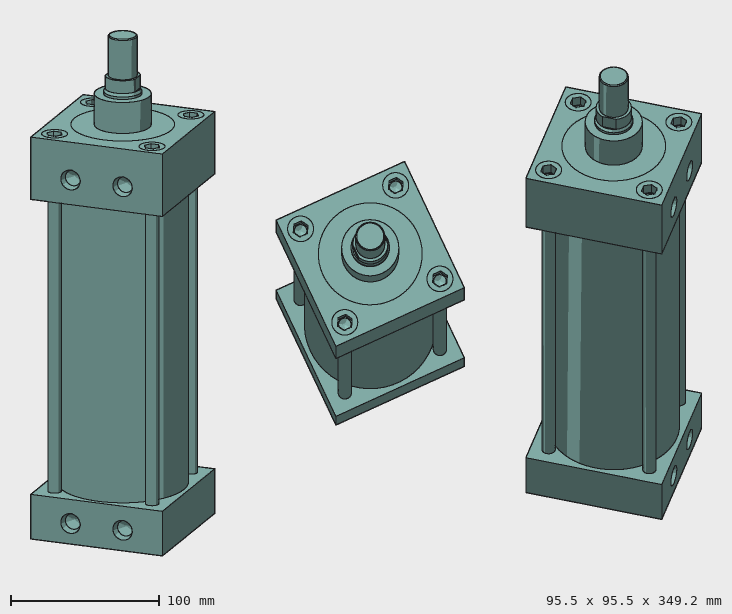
import cadquery as cq
import math

total_height = 349.2
block_side = 95.5
base_height = 31.8
head_height = 44.5
boss_height = 22.0
shank_height = 13.0
thread_length = 28.5

boss_top = total_height - thread_length - shank_height
head_top = boss_top - boss_height
head_bottom = head_top - head_height

barrel_radius = 44.5
tie_rod_radius = 4.5
tie_rod_offset = 35.3
tie_head_radius = 8.7
tie_head_height = 14.0
socket_across_flats = 9.5
socket_depth = 7.0
socket_drill_radius = 4.2

flange_radius = 35.0
flange_height = 10.5
boss_radius = 19.2

rod_radius = 13.0
rod_land_height = 1.7
rod_cone_height = 2.0
shank_radius = 12.0
thread_radius = 9.8
thread_chamfer = 0.7
flat_half_width = 11.0
flat_height = shank_height - rod_land_height - rod_cone_height

port_mouth_radius = 7.0
port_end_radius = 5.5
port_depth = 5.0
port_offset = 19.0
base_port_z = 14.5
head_port_z = 258.8
drill_point_angle = 118.0


def cylinder(radius, bottom, top):
    return cq.Workplane("XY").workplane(offset=bottom).circle(radius).extrude(top - bottom)


def block(bottom, height):
    return cq.Workplane("XY").workplane(offset=bottom).rect(block_side, block_side).extrude(height)


def tapered_hole(mouth_radius, end_radius, depth):
    """Cutter for a blind hole with a drill point: mouth at the origin, running down -Z."""
    point_length = end_radius / math.tan(math.radians(drill_point_angle / 2))
    return (
        cq.Workplane("XZ")
        .lineTo(mouth_radius, 0)
        .lineTo(end_radius, -depth)
        .lineTo(0, -depth - point_length)
        .close()
        .revolve(360, (0, 0), (0, 1))
    )


def gland_flange():
    return cylinder(flange_radius, head_top - flange_height, head_top)


def cut_ports(body, port_z):
    """Pair of ports drilled into the -Y face."""
    port = tapered_hole(port_mouth_radius, port_end_radius, port_depth).rotate((0, 0, 0), (1, 0, 0), 90)
    for x in (-port_offset, port_offset):
        body = body.cut(port.translate((x, -block_side / 2, port_z)))
    return body


def tie_rod(bottom):
    """Tie rod with an enlarged end, flush with the top of the head block."""
    return cylinder(tie_rod_radius, bottom, head_top).union(
        cylinder(tie_head_radius, head_top - tie_head_height, head_top)
    )


def hex_socket():
    """Cutter for the wrench socket in a tie rod head, with two of its corners on the X direction."""
    across_corners = socket_across_flats / math.cos(math.pi / 6)
    hexagon = cq.Workplane("XY").polygon(6, across_corners).extrude(-socket_depth)
    drilled = tapered_hole(socket_drill_radius, socket_drill_radius, socket_depth)
    return hexagon.union(drilled).translate((0, 0, head_top))


def at_corners(shape):
    """One copy of the shape on each of the four tie rod axes."""
    offsets = (-tie_rod_offset, tie_rod_offset)
    return [shape.translate((x, y, 0)) for x in offsets for y in offsets]


def make_cylinder_body():
    """Base block carrying the barrel and the four tie rods."""
    body = cut_ports(block(0, base_height), base_port_z)
    body = body.union(cylinder(barrel_radius, base_height, head_bottom))
    for rod in at_corners(tie_rod(base_height).cut(hex_socket())):
        body = body.union(rod)
    return body


def make_head():
    """Head block with a seat for the gland and clearance for the piston rod and tie rods."""
    head = cut_ports(block(head_bottom, head_height), head_port_z)
    head = head.cut(gland_flange())
    head = head.cut(cylinder(rod_radius, head_bottom, head_top))
    for rod in at_corners(tie_rod(head_bottom)):
        head = head.cut(rod)
    return head


def make_gland():
    """Flanged gland set flush in the head, with a boss around the rod."""
    boss = cylinder(boss_radius, head_top, boss_top)
    return gland_flange().union(boss).cut(cylinder(rod_radius, head_bottom, boss_top))


def make_piston_rod():
    """Rod tapering to a shank with two wrench flats facing -X and +X, then a reduced end."""
    land_top = boss_top + rod_land_height
    cone_top = land_top + rod_cone_height
    shoulder = boss_top + shank_height
    rod = (
        cq.Workplane("XZ")
        .moveTo(0, head_bottom)
        .lineTo(rod_radius, head_bottom)
        .lineTo(rod_radius, land_top)
        .lineTo(shank_radius, cone_top)
        .lineTo(shank_radius, shoulder)
        .lineTo(thread_radius, shoulder)
        .lineTo(thread_radius, total_height - thread_chamfer)
        .lineTo(thread_radius - thread_chamfer, total_height)
        .lineTo(0, total_height)
        .close()
        .revolve(360, (0, 0), (0, 1))
    )
    flat_cut = cq.Workplane("XY").box(shank_radius, 2 * shank_radius, flat_height)
    flat_offset = flat_half_width + shank_radius / 2
    for x in (-flat_offset, flat_offset):
        rod = rod.cut(flat_cut.translate((x, 0, shoulder - flat_height / 2)))
    return rod


cylinder_body = make_cylinder_body()
head = make_head()
gland = make_gland()
piston_rod = make_piston_rod()

result = cq.Compound.makeCompound(
    [cylinder_body.val(), head.val(), gland.val(), piston_rod.val()]
)